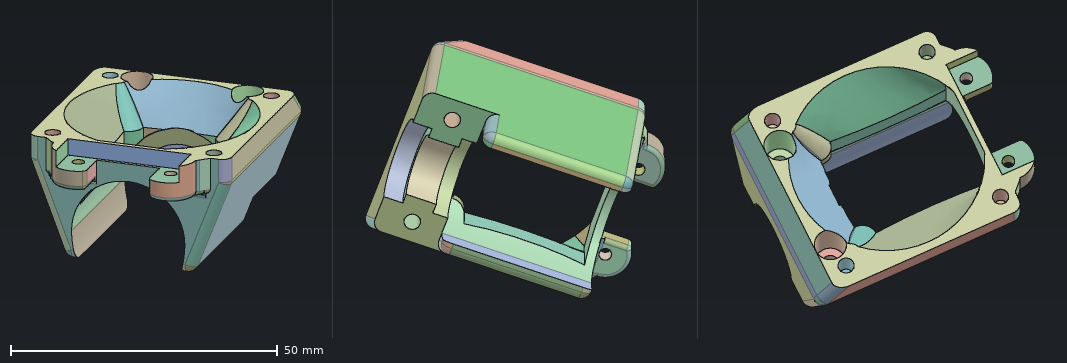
import cadquery as cq
import math


OVERLAP = 0.5

WIDTH = 40.05
HEIGHT = 24.0
FRONT_Y = -19.0
BACK_Y = 23.7
DECK_BACK_Y = 20.0
BEND_Z = -5.0
BOTTOM_WIDTH = 25.45
EDGE_RADIUS = 2.0

BORE_Z = -18.1
BORE_RADIUS = 11.3
BORE_END_Y = 10.95
COLLAR_RADIUS = 8.05
NECK_RADIUS = 6.15
INNER_COLLAR_DEPTH = 3.0
NECK_LENGTH = 6.0
LEG_GAP_BOTTOM = 20.7

FAN_RADIUS = 18.45
FRONT_WALL_Y = -17.2
THROAT_Z = -7.25
THROAT_HALF_WIDTH = 10.35
THROAT_SIDE_BULGE = 0.7
THROAT_BACK_Y = 9.95
THROAT_BACK_BULGE = 0.5
COLUMN_RADIUS = 3.0
COLUMN_TIP_RADIUS = 1.5
COLUMN_TIP_OVERLAP = 0.25

FAN_HOLE_SPACING = 32.15
FAN_HOLE_DIAMETER = 3.0
FAN_HOLE_DEPTH = 5.95
CLAMP_HOLE_X = 11.05
CLAMP_HOLE_Y = 16.95
CLAMP_HOLE_DIAMETER = 3.1
CLAMP_HEAD_DIAMETER = 6.0
CLAMP_HEAD_DEPTH = 9.95

LUG_X = 9.2
LUG_Y = -20.95
LUG_RADIUS = 5.0
LUG_INNER_X = 6.25
LUG_FLARE_X = 16.4
LUG_FLARE_LENGTH = 1.6
LUG_HEIGHT = 7.2
LUG_EDGE_RADIUS = 0.9
LUG_CORNER_RADIUS = 1.0
LUG_HOLE_DIAMETER = 2.35
RECESS_WIDTH = 24.5
RECESS_BACK_Y = -18.25
RECESS_DEPTH = 3.3


def box_between(x_range, y_range, z_range):
    """Box given by its lower and upper limit along each axis."""
    size = [high - low for low, high in (x_range, y_range, z_range)]
    corner = (x_range[0], y_range[0], z_range[0])
    return cq.Workplane("XY").box(*size, centered=False).translate(corner)


def cylinder_along_y(radius, y_start, y_end):
    """Cylinder on the heater axis."""
    plane = cq.Workplane("XZ", origin=(0, y_start, BORE_Z))
    return plane.circle(radius).extrude(y_start - y_end)


def mirrored(solid):
    """A solid together with its mirror image across X = 0."""
    return solid.union(solid.mirror("YZ"))


def tapered_block(back_y):
    """Block with leaning side walls, from the front face to back_y."""
    profile = [
        (-WIDTH / 2, 0),
        (-WIDTH / 2, BEND_Z),
        (-BOTTOM_WIDTH / 2, -HEIGHT),
        (BOTTOM_WIDTH / 2, -HEIGHT),
        (WIDTH / 2, BEND_Z),
        (WIDTH / 2, 0),
    ]
    plane = cq.Workplane("XZ", origin=(0, FRONT_Y, 0))
    return plane.polyline(profile).close().extrude(FRONT_Y - back_y)


def rounded(block):
    """Round every edge except those around the mounting face."""
    return block.edges("not >Z").fillet(EDGE_RADIUS)


def make_body():
    chamfer = BACK_Y - DECK_BACK_Y
    upper = tapered_block(BACK_Y).faces(">Y").edges(">Z").chamfer(chamfer)
    below = box_between(
        (-WIDTH, WIDTH),
        (FRONT_Y - OVERLAP, BACK_Y + OVERLAP),
        (-HEIGHT - OVERLAP, BORE_Z),
    )
    upper = rounded(upper).cut(below)
    legs = rounded(tapered_block(BORE_END_Y))
    return upper.union(legs)


def make_lug():
    """Lug on the -X side: a round ear with a flared root, rounded along its lower outline."""
    root_y = FRONT_Y + OVERLAP
    ear = (
        cq.Workplane("XY", origin=(-LUG_X, LUG_Y, 0))
        .circle(LUG_RADIUS)
        .extrude(-LUG_HEIGHT)
    )
    root = (
        cq.Workplane("XY")
        .moveTo(-LUG_FLARE_X, root_y)
        .lineTo(-LUG_FLARE_X, FRONT_Y)
        .lineTo(-LUG_FLARE_X + LUG_FLARE_LENGTH, FRONT_Y - LUG_FLARE_LENGTH)
        .tangentArcPoint((-LUG_X - LUG_RADIUS, LUG_Y), relative=False)
        .lineTo(-LUG_X, LUG_Y)
        .lineTo(-LUG_INNER_X, root_y)
        .close()
        .extrude(-LUG_HEIGHT)
    )
    limits = box_between((-WIDTH / 2, -LUG_INNER_X), (LUG_Y - LUG_RADIUS, root_y), (-LUG_HEIGHT, 0))
    lug = ear.union(root).intersect(limits)
    lug = lug.edges("|Z").edges(">X").edges("<Y").fillet(LUG_CORNER_RADIUS)
    return lug.faces("<Z").edges("not >Y").fillet(LUG_EDGE_RADIUS)


def make_lug_root():
    """Concave fillet between the underside of the -X lug and the front face."""
    radius = LUG_EDGE_RADIUS
    underside = -LUG_HEIGHT
    return (
        cq.Workplane("YZ", origin=(-LUG_FLARE_X + radius, 0, 0))
        .moveTo(FRONT_Y, underside - radius)
        .radiusArc((FRONT_Y - radius, underside), -radius)
        .lineTo(FRONT_Y - radius, underside + radius)
        .lineTo(FRONT_Y, underside + radius)
        .close()
        .extrude(LUG_FLARE_X - LUG_INNER_X - radius)
    )


def make_bore():
    """Heater clearance: half-round above, gently closing in between the legs."""
    mid_x = BORE_RADIUS - (BORE_RADIUS - LEG_GAP_BOTTOM / 2) / 4
    mid_z = (BORE_Z - HEIGHT) / 2
    return (
        cq.Workplane("XZ", origin=(0, FRONT_Y, 0))
        .moveTo(-BORE_RADIUS, BORE_Z)
        .threePointArc((0, BORE_Z + BORE_RADIUS), (BORE_RADIUS, BORE_Z))
        .threePointArc((mid_x, mid_z), (LEG_GAP_BOTTOM / 2, -HEIGHT))
        .lineTo(-LEG_GAP_BOTTOM / 2, -HEIGHT)
        .threePointArc((-mid_x, mid_z), (-BORE_RADIUS, BORE_Z))
        .close()
        .extrude(FRONT_Y - BORE_END_Y)
    )


def make_neck():
    """Stepped seat through the rear wall: collar, narrow neck, collar."""
    neck_start = BORE_END_Y + INNER_COLLAR_DEPTH
    neck_end = neck_start + NECK_LENGTH
    return (
        cylinder_along_y(COLLAR_RADIUS, BORE_END_Y, neck_start)
        .union(cylinder_along_y(NECK_RADIUS, neck_start, neck_end))
        .union(cylinder_along_y(COLLAR_RADIUS, neck_end, BACK_Y))
    )


def four_arc_outline(plane, front_corner, side, back_corner, back_y, front_y):
    """Closed outline of four arcs, symmetric about X = 0; points are on the +X side."""
    (front_x, front_corner_y), (back_x, back_corner_y) = front_corner, back_corner
    side_x, side_y = side
    return (
        plane.moveTo(front_x, front_corner_y)
        .threePointArc((side_x, side_y), (back_x, back_corner_y))
        .threePointArc((0, back_y), (-back_x, back_corner_y))
        .threePointArc((-side_x, side_y), (-front_x, front_corner_y))
        .threePointArc((0, front_y), (front_x, front_corner_y))
        .close()
    )


def rim_outline(plane):
    """Fan circle, split where the throat corners meet it."""
    front_x = THROAT_HALF_WIDTH
    front_y = -math.sqrt(FAN_RADIUS**2 - front_x**2)
    diagonal = FAN_RADIUS * math.sqrt(0.5)
    return four_arc_outline(
        plane, (front_x, front_y), (FAN_RADIUS, 0), (diagonal, diagonal), FAN_RADIUS, -FAN_RADIUS
    )


def throat_outline(plane):
    """Nearly rectangular throat: sides bowed inwards, back bowed outwards."""
    half = THROAT_HALF_WIDTH
    side = (half - THROAT_SIDE_BULGE, (FRONT_Y + THROAT_BACK_Y) / 2)
    return four_arc_outline(
        plane,
        (half, FRONT_Y),
        side,
        (half, THROAT_BACK_Y),
        THROAT_BACK_Y + THROAT_BACK_BULGE,
        FRONT_Y - THROAT_BACK_BULGE,
    )


def make_column():
    """Column in the rear -X corner of the duct, widening downwards from the fan rim."""
    tip = (FAN_RADIUS + COLUMN_TIP_RADIUS - COLUMN_TIP_OVERLAP) * math.sqrt(0.5)
    foot = cq.Workplane("XY", origin=(-THROAT_HALF_WIDTH, THROAT_BACK_Y, THROAT_Z))
    cone = (
        cq.Workplane("XY")
        .center(-tip, tip)
        .circle(COLUMN_TIP_RADIUS)
        .workplane(offset=THROAT_Z)
        .center(tip - THROAT_HALF_WIDTH, THROAT_BACK_Y - tip)
        .circle(COLUMN_RADIUS)
        .loft()
    )
    return cone.union(foot.circle(COLUMN_RADIUS).extrude(BORE_Z - THROAT_Z))


def make_duct():
    rim = rim_outline(cq.Workplane("XY"))
    funnel = throat_outline(rim.workplane(offset=THROAT_Z)).loft(ruled=True)
    throat = throat_outline(cq.Workplane("XY", origin=(0, 0, THROAT_Z))).extrude(BORE_Z - THROAT_Z)
    behind_wall = box_between((-WIDTH / 2, WIDTH / 2), (FRONT_WALL_Y, BACK_Y), (BORE_Z, 0))
    return funnel.union(throat).intersect(behind_wall).cut(mirrored(make_column()))


def make_holes():
    fan_holes = (
        cq.Workplane("XY")
        .rect(FAN_HOLE_SPACING, FAN_HOLE_SPACING, forConstruction=True)
        .vertices()
        .circle(FAN_HOLE_DIAMETER / 2)
        .extrude(-FAN_HOLE_DEPTH)
    )
    clamp_points = [(-CLAMP_HOLE_X, CLAMP_HOLE_Y), (CLAMP_HOLE_X, CLAMP_HOLE_Y)]
    clamp_plane = cq.Workplane("XY").pushPoints(clamp_points)
    clamp_holes = clamp_plane.circle(CLAMP_HOLE_DIAMETER / 2).extrude(-HEIGHT)
    clamp_heads = clamp_plane.circle(CLAMP_HEAD_DIAMETER / 2).extrude(-CLAMP_HEAD_DEPTH)
    lug_holes = (
        cq.Workplane("XY")
        .pushPoints([(-LUG_X, LUG_Y), (LUG_X, LUG_Y)])
        .circle(LUG_HOLE_DIAMETER / 2)
        .extrude(-LUG_HEIGHT - LUG_EDGE_RADIUS)
    )
    return fan_holes.union(clamp_holes).union(clamp_heads).union(lug_holes)


def make_recess():
    half = RECESS_WIDTH / 2
    return box_between((-half, half), (LUG_Y - LUG_RADIUS, RECESS_BACK_Y), (-RECESS_DEPTH, 0))


result = (
    make_body()
    .union(mirrored(make_lug()))
    .union(mirrored(make_lug_root()))
    .cut(make_bore())
    .cut(make_neck())
    .cut(make_duct())
    .cut(make_recess())
    .cut(make_holes())
)